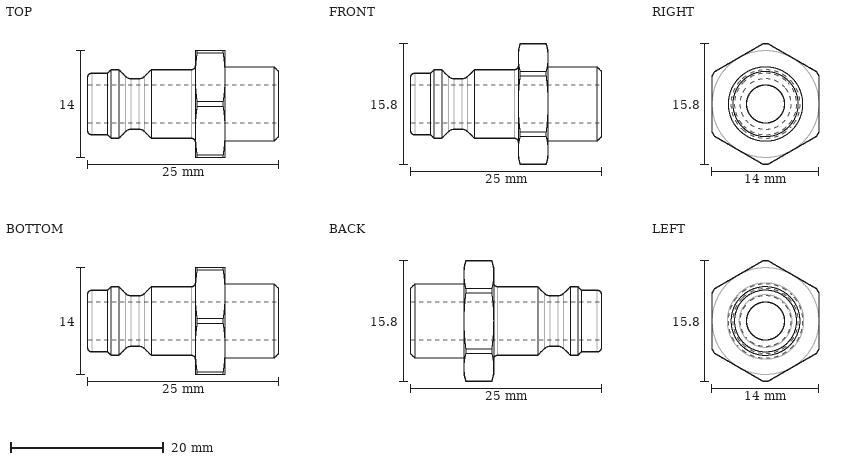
import math

import cadquery as cq

total_length = 25.0
collar_start = 2.65
collar_end = 4.1
shank_start = 8.35
hex_start = 14.1
hex_end = 18.0

bore_diameter = 4.95
neck_diameter = 6.65
nose_diameter = 8.1
collar_diameter = 9.0
thread_diameter = 9.73

nose_round = 0.6
neck_fillet = 1.0
shank_fillet = 0.5
thread_chamfer = 0.6

across_flats = 14.0
across_corners = 15.8
hex_face_diameter = 13.98
hex_chamfer_angle = 15.0

bore_radius = bore_diameter / 2
neck_radius = neck_diameter / 2
nose_radius = nose_diameter / 2
collar_radius = collar_diameter / 2
thread_radius = thread_diameter / 2
corner_radius = across_corners / 2
hex_face_radius = hex_face_diameter / 2

sin_45 = math.sqrt(0.5)
sin_22_5 = math.sin(math.radians(22.5))
cos_22_5 = math.cos(math.radians(22.5))


def turned_body():
    """Revolved nose, locking groove, shank and threaded end."""
    blend_run = neck_fillet * sin_45
    blend_rise = neck_fillet * (1 - sin_45)
    blend_top = neck_radius + blend_rise
    wall_run = collar_radius - blend_top
    front_blend = collar_end + wall_run
    rear_blend = shank_start - wall_run
    neck_start = front_blend + blend_run
    neck_end = rear_blend - blend_run
    blend_centre_radius = neck_radius + neck_fillet
    blend_mid_radius = blend_centre_radius - neck_fillet * cos_22_5

    collar_chamfer = collar_radius - nose_radius
    nose_inset = nose_round * (1 - sin_45)
    shank_end = hex_start - shank_fillet
    root_radius = collar_radius + shank_fillet

    profile = (
        cq.Workplane("XY")
        .moveTo(0, 0)
        .lineTo(0, nose_radius - nose_round)
        .threePointArc((nose_inset, nose_radius - nose_inset), (nose_round, nose_radius))
        .lineTo(collar_start, nose_radius)
        .lineTo(collar_start + collar_chamfer, collar_radius)
        .lineTo(collar_end, collar_radius)
        .lineTo(front_blend, blend_top)
        .threePointArc(
            (neck_start - neck_fillet * sin_22_5, blend_mid_radius),
            (neck_start, neck_radius),
        )
        .lineTo(neck_end, neck_radius)
        .threePointArc(
            (neck_end + neck_fillet * sin_22_5, blend_mid_radius),
            (rear_blend, blend_top),
        )
        .lineTo(shank_start, collar_radius)
        .lineTo(shank_end, collar_radius)
        .threePointArc(
            (shank_end + shank_fillet * sin_45, root_radius - shank_fillet * sin_45),
            (hex_start, root_radius),
        )
        .lineTo(hex_start, thread_radius)
        .lineTo(total_length - thread_chamfer, thread_radius)
        .lineTo(total_length, thread_radius - thread_chamfer)
        .lineTo(total_length, 0)
        .close()
    )
    return profile.revolve(360, (0, 0, 0), (1, 0, 0))


def hexagon():
    """Wrench hexagon with flats facing +Y and -Y, turned corners and conical chamfers on both faces."""
    corner_circle = across_flats / math.cos(math.radians(30))
    prism = (
        cq.Workplane("YZ", origin=(hex_start, 0, 0))
        .transformed(rotate=(0, 0, 90))
        .polygon(6, corner_circle)
        .extrude(hex_end - hex_start)
    )
    chamfer_depth = (corner_radius - hex_face_radius) * math.tan(math.radians(hex_chamfer_angle))
    envelope = (
        cq.Workplane("XY")
        .moveTo(hex_start, 0)
        .lineTo(hex_start, hex_face_radius)
        .lineTo(hex_start + chamfer_depth, corner_radius)
        .lineTo(hex_end - chamfer_depth, corner_radius)
        .lineTo(hex_end, hex_face_radius)
        .lineTo(hex_end, 0)
        .close()
        .revolve(360, (0, 0, 0), (1, 0, 0))
    )
    return prism.intersect(envelope)


def bore():
    """Straight passage along the whole length."""
    return cq.Workplane("YZ").circle(bore_radius).extrude(total_length)


result = turned_body().union(hexagon()).cut(bore())